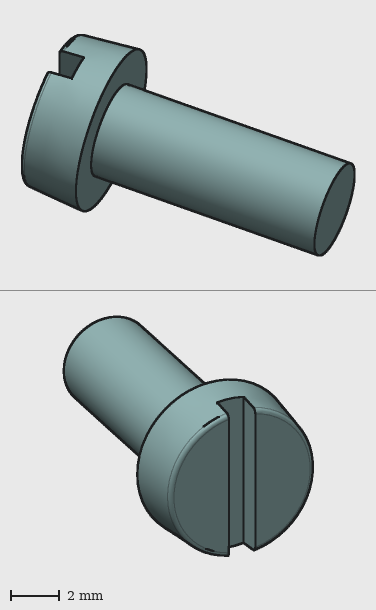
import cadquery as cq
import math

total_length = 12.6
head_diameter = 7.0
head_height = 2.6
head_taper_deg = 5.0
head_edge_radius = 0.2
shank_diameter = 4.0
slot_width = 1.2
slot_depth = 1.1

head_radius = head_diameter / 2
face_radius = head_radius - head_height * math.tan(math.radians(head_taper_deg))
shank_length = total_length - head_height


def make_head():
    """Tapered head, widest at its bearing face on x = 0, with a rounded outer rim."""
    profile = (
        cq.Workplane("XY")
        .moveTo(-head_height, 0)
        .lineTo(-head_height, face_radius)
        .lineTo(0, head_radius)
        .lineTo(0, 0)
        .close()
    )
    head = profile.revolve(360, (0, 0, 0), (1, 0, 0))
    return head.faces("<X").edges().fillet(head_edge_radius)


def make_shank():
    """Plain cylindrical shank running from the bearing face towards +X."""
    return cq.Workplane("YZ").circle(shank_diameter / 2).extrude(shank_length)


def make_slot():
    """Driver slot, running along Z across the whole head."""
    return (
        cq.Workplane("XY")
        .box(slot_depth, slot_width, head_diameter, centered=(False, True, True))
        .translate((-head_height, 0, 0))
    )


result = make_head().union(make_shank()).cut(make_slot())